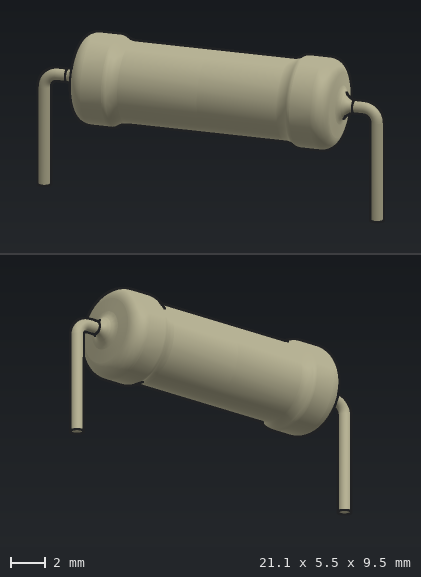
import cadquery as cq

overall_length = 21.12
wire_diameter = 0.8
bend_radius = 0.8
lead_bottom_z = -6.75
cap_diameter = 5.5
barrel_diameter = 4.9

barrel_end = 4.85
shoulder_inflection = 5.5
cap_start = 5.75
cap_rounding_start = 7.03
end_face_rim = 7.92
end_face_centre = 8.0
neck_cone_base = 8.2
neck_cone_tip = 8.32
neck_end = 8.76

end_face_radius = 1.95
neck_base_radius = 1.15
neck_cone_base_radius = 0.72
neck_cone_tip_radius = 0.6

wire_radius = wire_diameter / 2
cap_radius = cap_diameter / 2
barrel_radius = barrel_diameter / 2
shoulder_share = (shoulder_inflection - barrel_end) / (cap_start - barrel_end)
inflection_radius = barrel_radius + (cap_radius - barrel_radius) * shoulder_share
lead_x = overall_length / 2 - wire_radius


def make_body():
    """Dumbbell-shaped body with rounded caps and necks flaring down to the wires."""
    half = (
        cq.Workplane("XZ")
        .lineTo(0, barrel_radius)
        .lineTo(barrel_end, barrel_radius)
        .tangentArcPoint((shoulder_inflection, inflection_radius), relative=False)
        .tangentArcPoint((cap_start, cap_radius), relative=False)
        .lineTo(cap_rounding_start, cap_radius)
        .tangentArcPoint((end_face_rim, end_face_radius), relative=False)
        .lineTo(end_face_centre, neck_base_radius)
        .tangentArcPoint((neck_cone_base, neck_cone_base_radius), relative=False)
        .lineTo(neck_cone_tip, neck_cone_tip_radius)
        .tangentArcPoint((neck_end, wire_radius), relative=False)
        .lineTo(neck_end, 0)
        .close()
        .revolve(360, (0, 0, 0), (1, 0, 0))
    )
    return half.union(half.mirror("YZ"))


def make_lead(side):
    """Round wire leaving the neck and bending down; side is -1 or +1 along X."""
    path = (
        cq.Workplane("XZ")
        .moveTo(side * neck_end, 0)
        .lineTo(side * (lead_x - bend_radius), 0)
        .tangentArcPoint((side * lead_x, -bend_radius), relative=False)
        .lineTo(side * lead_x, lead_bottom_z)
    )
    return (
        cq.Workplane("YZ", origin=(side * neck_end, 0, 0))
        .circle(wire_radius)
        .sweep(path)
    )


body = make_body()
leads = [make_lead(side) for side in (-1, 1)]

result = cq.Compound.makeCompound([body.val(), *[lead.val() for lead in leads]])